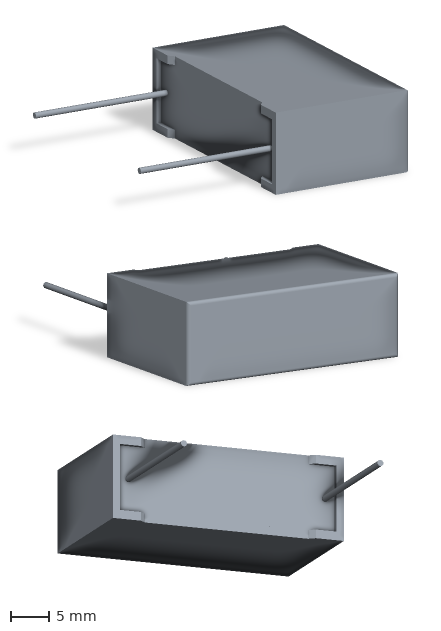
import cadquery as cq

case_width = 32.3
case_height = 11.22
case_depth = 20.0
side_wall = 1.0
top_wall = 1.17
back_wall = side_wall
back_fillet = 0.45

foot_width = 3.9
relief_depth = 0.65
relief_slope_run = 0.82

total_depth = 39.1
lead_diameter = 0.82
lead_pitch = 27.5
lead_length = total_depth - case_depth
lead_embedment = relief_depth + lead_diameter

back_y = total_depth / 2
rim_y = back_y - case_depth
filling_front_y = rim_y + relief_depth
cavity_back_y = back_y - back_wall
cavity_width = case_width - 2 * side_wall
cavity_height = case_height - 2 * top_wall


def block(width, height, front_y, rear_y):
    """Box centred in X and Z, spanning front_y to rear_y."""
    depth = rear_y - front_y
    return cq.Workplane("XY").box(width, depth, height).translate((0, front_y + depth / 2, 0))


def make_rim_relief():
    """Trapezoid cutter, running through both walls in Z."""
    outer_half = case_width / 2 - foot_width
    inner_half = outer_half - relief_slope_run
    return (
        cq.Workplane("XY")
        .polyline([
            (-outer_half, rim_y),
            (outer_half, rim_y),
            (inner_half, filling_front_y),
            (-inner_half, filling_front_y),
        ])
        .close()
        .extrude(case_height / 2, both=True)
    )


def make_case():
    shell = block(case_width, case_height, rim_y, back_y).faces(">Y").edges().fillet(back_fillet)
    cavity = block(cavity_width, cavity_height, rim_y, cavity_back_y)
    return shell.cut(cavity).cut(make_rim_relief())


def make_lead(x):
    """Straight round wire from the -Y tip to its seat inside the filling."""
    tip_y = rim_y - lead_length
    wire_length = lead_length + lead_embedment
    return (
        cq.Workplane("XZ", origin=(x, tip_y, 0))
        .circle(lead_diameter / 2)
        .extrude(-wire_length)
    )


def make_filling(leads):
    """Resin block filling the cavity up to the relief, with a seat for each lead."""
    filling = block(cavity_width, cavity_height, filling_front_y, cavity_back_y)
    for lead in leads:
        filling = filling.cut(lead)
    return filling


leads = [make_lead(side * lead_pitch / 2) for side in (-1, 1)]
case = make_case()
filling = make_filling(leads)

result = cq.Compound.makeCompound([case.val(), filling.val(), *[lead.val() for lead in leads]])